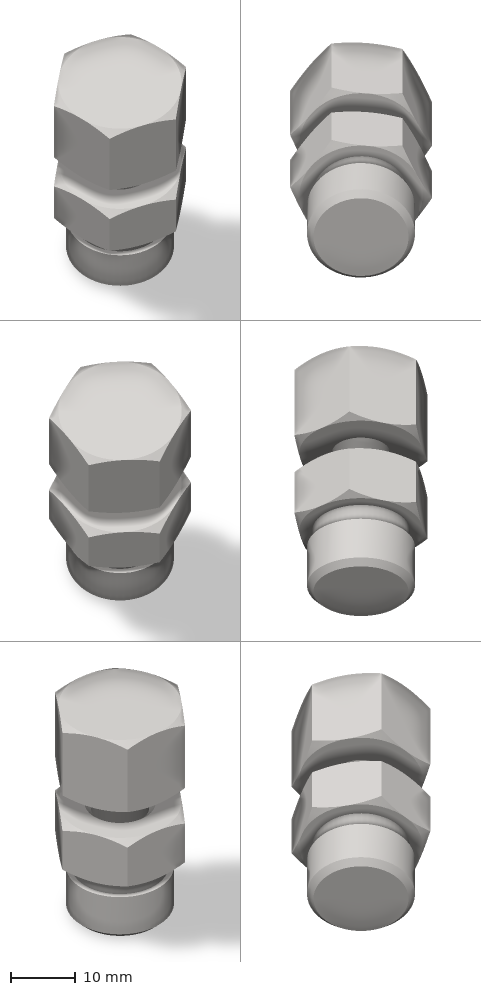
import cadquery as cq
import math

total_height = 38.5
hex_flats = 19.0
hex_corners = hex_flats / math.cos(math.radians(30))
hex_chamfer_angle = 30.0

thread_height = 8.0
relief_height = 3.0
body_hex_height = 9.0
neck_height = 5.0
cap_hex_height = total_height - thread_height - relief_height - body_hex_height - neck_height

thread_diameter = 16.67
relief_diameter = 15.0
neck_diameter = 9.0
thread_chamfer = 1.0

countersink_diameter = 11.0
countersink_depth = (countersink_diameter - neck_diameter) / 2


def cylinder(diameter, base, height):
    """Round section standing on the height `base`."""
    return cq.Workplane("XY").workplane(offset=base).circle(diameter / 2).extrude(height)


def chamfered_hex(base, height):
    """Hexagon with flats facing +X and -X, its corners turned to a cone at both ends."""
    prism = (
        cq.Workplane("XY")
        .workplane(offset=base)
        .polygon(6, hex_corners)
        .extrude(height)
        .rotate((0, 0, 0), (0, 0, 1), 30)
    )
    face_radius = hex_flats / 2
    corner_radius = hex_corners / 2
    corner_drop = (corner_radius - face_radius) * math.tan(math.radians(hex_chamfer_angle))
    turned_envelope = (
        cq.Workplane("XZ")
        .moveTo(0, base)
        .lineTo(face_radius, base)
        .lineTo(corner_radius, base + corner_drop)
        .lineTo(corner_radius, base + height - corner_drop)
        .lineTo(face_radius, base + height)
        .lineTo(0, base + height)
        .close()
        .revolve(360, (0, 0, 0), (0, 1, 0))
    )
    return prism.intersect(turned_envelope)


def countersink(top):
    """45 degree cone that narrows downward from the height `top` to the neck diameter."""
    return (
        cq.Workplane("XY")
        .workplane(offset=top)
        .circle(countersink_diameter / 2)
        .workplane(offset=-countersink_depth)
        .circle(neck_diameter / 2)
        .loft()
    )


relief_base = thread_height
body_hex_base = relief_base + relief_height
neck_base = body_hex_base + body_hex_height
cap_hex_base = neck_base + neck_height

thread = cylinder(thread_diameter, 0, thread_height).faces("<Z").chamfer(thread_chamfer)
relief = cylinder(relief_diameter, relief_base, relief_height)
body_hex = chamfered_hex(body_hex_base, body_hex_height).cut(countersink(neck_base))
neck = cylinder(neck_diameter, neck_base - countersink_depth, neck_height + countersink_depth)
cap_hex = chamfered_hex(cap_hex_base, cap_hex_height)

result = thread.union(relief).union(body_hex).union(neck).union(cap_hex)